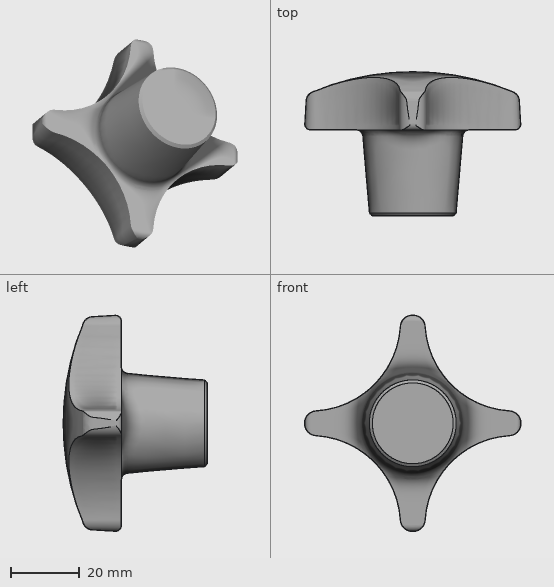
import cadquery as cq
import math


head_radius = 31.45
head_height = 17.0
dome_radius = 75.45
rim_draft = 3.0
rim_front_fillet = 3.15
rim_back_fillet = 1.75

overall_depth = 42.0
stem_length = overall_depth - head_height
stem_root_radius = 14.7
stem_end_radius = 12.65
stem_root_fillet = 1.9
stem_end_chamfer_width = 0.9
stem_end_chamfer_height = 0.8

arm_count = 4
tip_radius = 3.65
tip_center = 27.85
scallop_radius = 26.1

tolerance = 0.005


def point_on_circle(center, radius, angle):
    """Point on a circle, with the angle in radians."""
    return (center[0] + radius * math.cos(angle), center[1] + radius * math.sin(angle))


def round_ring(body, corner, fillet_radius):
    """Fillet the ring edge swept by one corner of the turned profile."""
    ring_radius, height = corner
    rings = body.edges("%CIRCLE").filter(
        lambda edge: abs(edge.radius() - ring_radius) < tolerance
        and abs(edge.Center().y - height) < tolerance
    )
    return rings.fillet(fillet_radius)


def make_turned_body():
    """Domed disc and tapered stem as one solid of revolution about Y."""
    draft = math.radians(rim_draft)
    fillet_center = head_radius - rim_back_fillet
    back_radius = fillet_center + rim_back_fillet * (1 / math.cos(draft) + math.tan(draft))

    dome_center = (0, head_height - dome_radius)
    line_distance = back_radius * math.cos(draft) - dome_center[1] * math.sin(draft)
    rim_angle = draft + math.acos(line_distance / dome_radius)
    rim_front = point_on_circle(dome_center, dome_radius, rim_angle)
    dome_middle = point_on_circle(dome_center, dome_radius, (rim_angle + math.pi / 2) / 2)

    chamfer_inner = (stem_end_radius - stem_end_chamfer_width, -stem_length)
    chamfer_outer = (stem_end_radius, stem_end_chamfer_height - stem_length)
    stem_root = (stem_root_radius, 0)
    rim_back = (back_radius, 0)
    body = (
        cq.Workplane("XY")
        .moveTo(0, -stem_length)
        .lineTo(*chamfer_inner)
        .lineTo(*chamfer_outer)
        .lineTo(*stem_root)
        .lineTo(*rim_back)
        .lineTo(*rim_front)
        .threePointArc(dome_middle, (0, head_height))
        .close()
        .revolve(360, (0, 0, 0), (0, 1, 0))
    )
    corner_fillets = [
        (stem_root, stem_root_fillet),
        (rim_back, rim_back_fillet),
        (rim_front, rim_front_fillet),
    ]
    for corner, radius in corner_fillets:
        body = round_ring(body, corner, radius)
    return body


def make_star_prism():
    """Prism along Y with round arm tips joined by tangent concave scallops."""
    step = 2 * math.pi / arm_count
    half_step = step / 2

    touch_distance = tip_radius + scallop_radius
    scallop_center = tip_center * math.cos(half_step) + math.sqrt(
        touch_distance**2 - (tip_center * math.sin(half_step)) ** 2
    )
    tangent_angle = math.atan2(
        scallop_center * math.sin(half_step),
        scallop_center * math.cos(half_step) - tip_center,
    )

    outline = cq.Workplane("XZ", origin=(0, head_height, 0))
    outline = outline.moveTo(*point_on_circle((tip_center, 0), tip_radius, -tangent_angle))
    for arm in range(arm_count):
        arm_angle = arm * step
        next_angle = arm_angle + step
        tip = point_on_circle((0, 0), tip_center, arm_angle)
        next_tip = point_on_circle((0, 0), tip_center, next_angle)
        tip_middle = point_on_circle(tip, tip_radius, arm_angle)
        tip_end = point_on_circle(tip, tip_radius, arm_angle + tangent_angle)
        scallop_middle = point_on_circle((0, 0), scallop_center - scallop_radius, arm_angle + half_step)
        scallop_end = point_on_circle(next_tip, tip_radius, next_angle - tangent_angle)
        outline = outline.threePointArc(tip_middle, tip_end)
        outline = outline.threePointArc(scallop_middle, scallop_end)
    return outline.close().extrude(overall_depth)


result = make_star_prism().intersect(make_turned_body())